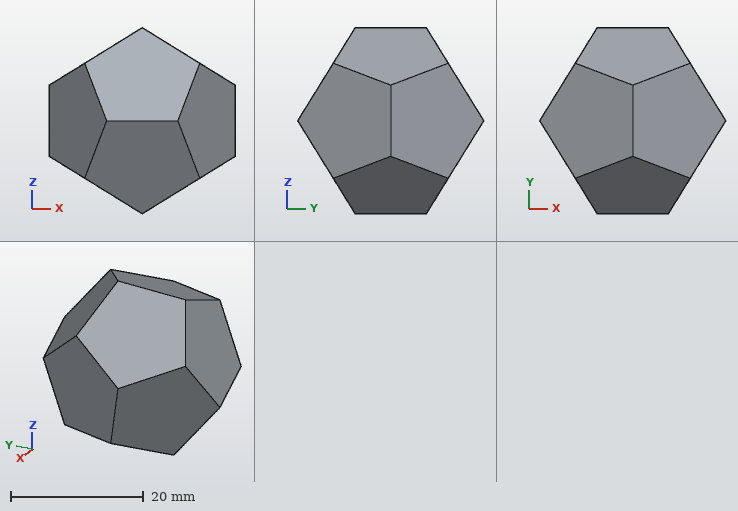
import cadquery as cq
import math

width = 28.03
golden_ratio = (1 + math.sqrt(5)) / 2

half_width = width / 2
half_height = half_width * golden_ratio
prism_length = 2 * width


def rhombic_prism(plane):
    """Prism centred on the origin whose four sides carry four pentagon faces."""
    corners = [(half_width, 0), (0, half_height), (-half_width, 0), (0, -half_height)]
    return cq.Workplane(plane).polyline(corners).close().extrude(prism_length / 2, both=True)


result = rhombic_prism("XY")
for plane in ("YZ", "ZX"):
    result = result.intersect(rhombic_prism(plane))

result = result.clean()